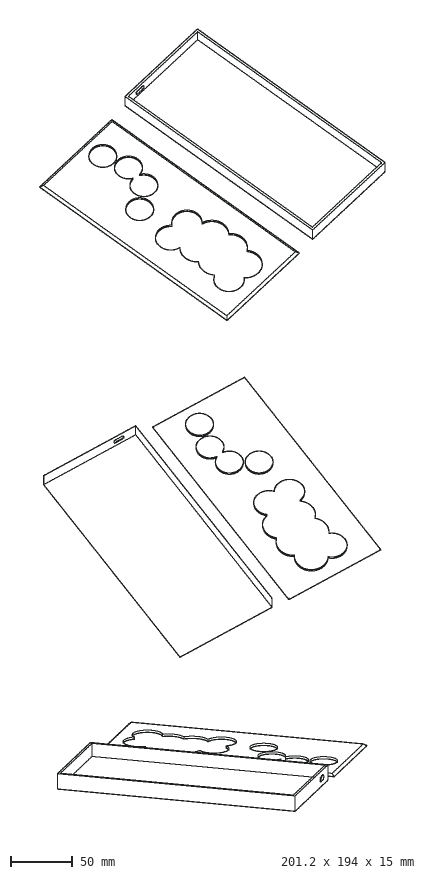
import cadquery as cq

length = 201.2
width = 89.0
gap = 16.0
center_offset = (width + gap) / 2

plate_thickness = 2.0
plate_bevel_inset = 2.5

tray_height = 13.0
wall_thickness = 2.0
floor_thickness = 2.0

port_width = 9.3
port_height = 4.0
port_corner_radius = 1.6
port_y = 24.3
port_height_above_base = 6.5

button_diameter = 22.5
button_centers = [(-81.5, 11.5), (-58.3, 16.5), (-37.5, 11.5), (-24.3, -8.6)]

small_lobe_diameter = 24.5
small_lobe_centers = [(13.0, 6.5), (13.0, -13.5), (75.6, -13.5)]
large_lobe_diameter = 27.4
large_lobe_centers = [(35.8, 11.0), (55.7, 11.0), (75.6, 6.5), (35.8, -7.2), (55.7, -7.2)]

core_x_range = (13.0, 75.6)
core_y_range = (-7.2, 6.5)


def make_core_cutter():
    """Block through the plate, hidden inside the outline of the lobes."""
    core_length = core_x_range[1] - core_x_range[0]
    core_width = core_y_range[1] - core_y_range[0]
    return (
        cq.Workplane("XY")
        .box(core_length, core_width, plate_thickness, centered=False)
        .translate((core_x_range[0], core_y_range[0], 0))
    )


def make_plate():
    """Flat plate with all four edges beveled inward toward the top face."""
    plate = (
        cq.Workplane("XY")
        .rect(length, width)
        .workplane(offset=plate_thickness)
        .rect(length - 2 * plate_bevel_inset, width - 2 * plate_bevel_inset)
        .loft(ruled=True)
    )
    plate = plate.cut(make_core_cutter())
    hole_groups = [
        (button_diameter, button_centers),
        (small_lobe_diameter, small_lobe_centers),
        (large_lobe_diameter, large_lobe_centers),
    ]
    for diameter, centers in hole_groups:
        for center in centers:
            cutter = cq.Workplane("XY").center(*center).circle(diameter / 2).extrude(plate_thickness)
            plate = plate.cut(cutter)
    return plate.translate((0, -center_offset, 0))


def make_port_cutter():
    """Rounded rectangular bar that passes through the -X wall only."""
    return (
        cq.Workplane("XY")
        .box(2 * wall_thickness, port_width, port_height)
        .edges("|X")
        .fillet(port_corner_radius)
        .translate((-length / 2, port_y, plate_thickness + port_height_above_base))
    )


def make_tray():
    """Open-topped tray whose base is level with the top of the plate."""
    tray = cq.Workplane("XY").box(length, width, tray_height, centered=(True, True, False))
    cavity = (
        cq.Workplane("XY")
        .workplane(offset=floor_thickness)
        .rect(length - 2 * wall_thickness, width - 2 * wall_thickness)
        .extrude(tray_height - floor_thickness)
    )
    tray = tray.cut(cavity).translate((0, center_offset, plate_thickness))
    return tray.cut(make_port_cutter())


plate = make_plate()
tray = make_tray()

result = cq.Compound.makeCompound([plate.val(), tray.val()])